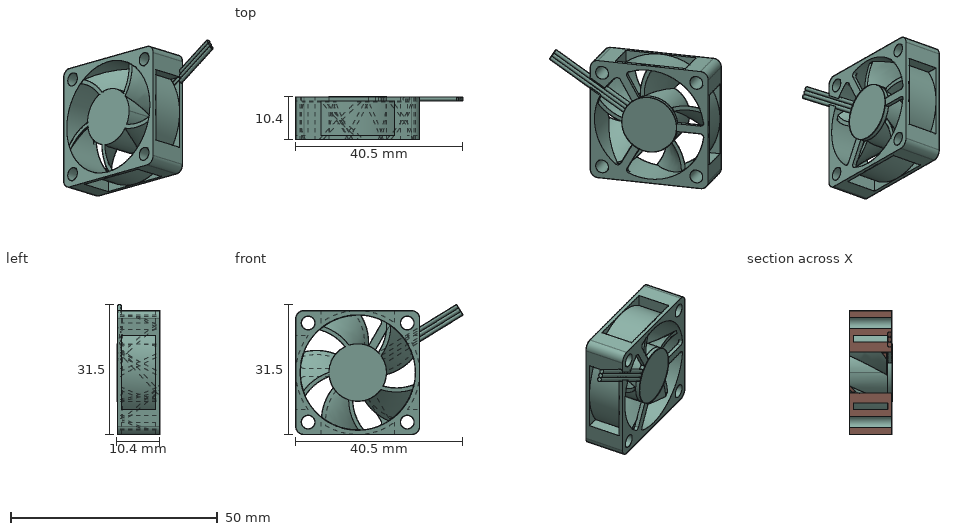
import cadquery as cq
import math


frame_side = 30.0
frame_depth = 10.3
corner_radius = 2.0
bore_radius = 13.93
duct_outer_radius = 14.98
flange_thickness = 1.0
window_width = 17.8
mount_hole_radius = 1.6
mount_hole_offset = 12.0

hub_radius = 6.95
arm_count = 3
arm_width = 2.0
arm_first_angle = 60.0
arm_fillet = 0.8
base_front = frame_depth - flange_thickness

blade_count = 5
blade_depth = 9.03
blade_twist = 40.0
blade_thickness = 1.0
blade_root_angle = 112.0
blade_tip_angle = 129.5
blade_bow = 0.6
blade_overrun = 1.6
tip_clearance = 0.05
tip_radius = bore_radius - tip_clearance

label_thickness = 0.12
rear_end = frame_depth + label_thickness

wire_count = 3
wire_diameter = 1.0
wire_angle = 31.6
wire_reach = 29.0
wire_axis_y = frame_depth - wire_diameter / 2


def turn_about_axis(body, angle):
    """Turn a body about the fan axis, from +X towards +Z, by an angle in degrees."""
    return body.rotate((0, 0, 0), (0, 1, 0), -angle)


def polar(radius, angle, centre=(0, 0)):
    """Point in the XZ plane at a radius and an angle in degrees from a centre."""
    angle = math.radians(angle)
    return (centre[0] + radius * math.cos(angle), centre[1] + radius * math.sin(angle))


def disc(radius, y_start, y_end):
    """Cylinder on the fan axis between two Y positions."""
    return cq.Workplane("XZ", origin=(0, y_start, 0)).circle(radius).extrude(y_start - y_end)


def make_windows():
    """Pockets in the four sides, between the flanges and outside the duct."""
    depth = frame_depth - 2 * flange_thickness
    centre = cq.Workplane("XY", origin=(0, frame_depth / 2, 0))
    across_x = centre.box(2 * frame_side, depth, window_width)
    across_z = centre.box(window_width, depth, 2 * frame_side)
    return across_x.union(across_z).cut(disc(duct_outer_radius, 0, frame_depth))


def make_arm(angle):
    """Radial arm from the fan axis into the duct wall."""
    length = (bore_radius + duct_outer_radius) / 2
    arm = cq.Workplane("XY", origin=(0, base_front, 0)).box(
        length, flange_thickness, arm_width, centered=(False, False, True)
    )
    return turn_about_axis(arm, angle)


def fillet_arm_end(frame, angle):
    """Round the two corners where an arm meets the bore."""
    half_angle = math.degrees(math.asin(arm_width / 2 / bore_radius))
    for corner_angle in (angle - half_angle, angle + half_angle):
        x, z = polar(bore_radius, corner_angle)
        corner = (x, (base_front + frame_depth) / 2, z)
        frame = frame.edges("|Y").edges(cq.selectors.NearestToPointSelector(corner)).fillet(arm_fillet)
    return frame


def make_wires():
    """Lead wires running outwards from the rim of the motor base, parallel to one radial line."""
    wires = []
    for index in range(wire_count):
        sideways = (index - (wire_count - 1) / 2) * wire_diameter
        wire = (
            cq.Workplane("YZ", origin=(0, wire_axis_y, sideways))
            .circle(wire_diameter / 2)
            .extrude(wire_reach)
        )
        wires.append(turn_about_axis(wire, wire_angle).cut(disc(hub_radius, 0, rear_end)))
    return wires


def cut_lead_groove(frame, wires):
    """Open groove in the rear flange: a round seat for each wire, clear between the wires."""
    width = (wire_count - 1) * wire_diameter
    opening = (
        cq.Workplane("XY", origin=(0, wire_axis_y, 0))
        .box(wire_reach, wire_diameter, width, centered=(False, False, True))
    )
    groove = turn_about_axis(opening, wire_angle).cut(disc(hub_radius, 0, 2 * frame_depth))
    frame = frame.cut(groove)
    for wire in wires:
        frame = frame.cut(wire)
    return frame


def make_frame(wires):
    frame = (
        cq.Workplane("XZ")
        .rect(frame_side, frame_side)
        .extrude(-frame_depth)
        .edges("|Y")
        .fillet(corner_radius)
    )
    mount_holes = (
        cq.Workplane("XZ")
        .rect(2 * mount_hole_offset, 2 * mount_hole_offset, forConstruction=True)
        .vertices()
        .circle(mount_hole_radius)
        .extrude(-frame_depth)
    )
    frame = frame.cut(disc(bore_radius, 0, frame_depth)).cut(mount_holes).cut(make_windows())

    frame = frame.union(disc(hub_radius, base_front, frame_depth))
    arm_angles = [arm_first_angle + index * 360 / arm_count for index in range(arm_count)]
    for angle in arm_angles:
        frame = frame.union(make_arm(angle))
    for angle in arm_angles:
        frame = fillet_arm_end(frame, angle)
    return cut_lead_groove(frame, wires)


def make_blade():
    """Bowed strip at the front face, extruded to the rear while it twists, trimmed to the tip radius."""
    root = polar(hub_radius, blade_root_angle)
    tip = polar(bore_radius, blade_tip_angle)

    chord = math.dist(root, tip)
    chord_angle = math.degrees(math.atan2(tip[1] - root[1], tip[0] - root[0]))
    camber_radius = (chord**2 / 4 + blade_bow**2) / (2 * blade_bow)
    chord_middle = ((root[0] + tip[0]) / 2, (root[1] + tip[1]) / 2)
    centre = polar(camber_radius - blade_bow, chord_angle + 90, chord_middle)

    middle_angle = chord_angle - 90
    half_span = math.degrees(math.asin(chord / 2 / camber_radius) + blade_overrun / camber_radius)
    first_angle = middle_angle - half_span
    last_angle = middle_angle + half_span
    outer_radius = camber_radius + blade_thickness / 2
    inner_radius = camber_radius - blade_thickness / 2
    strip = (
        cq.Workplane("XZ")
        .moveTo(*polar(outer_radius, first_angle, centre))
        .threePointArc(polar(outer_radius, middle_angle, centre), polar(outer_radius, last_angle, centre))
        .lineTo(*polar(inner_radius, last_angle, centre))
        .threePointArc(polar(inner_radius, middle_angle, centre), polar(inner_radius, first_angle, centre))
        .close()
    )
    return strip.twistExtrude(-blade_depth, blade_twist).intersect(disc(tip_radius, 0, blade_depth))


def make_impeller():
    """Hub from the front face to the motor base, with the blades around it."""
    impeller = disc(hub_radius, 0, base_front)
    blade = make_blade()
    for index in range(blade_count):
        impeller = impeller.union(turn_about_axis(blade, index * 360 / blade_count))
    return impeller


def make_label():
    return disc(hub_radius, frame_depth, rear_end)


wires = make_wires()
frame = make_frame(wires)
impeller = make_impeller()
label = make_label()

result = cq.Compound.makeCompound(
    [frame.val(), impeller.val(), label.val(), *[wire.val() for wire in wires]]
)